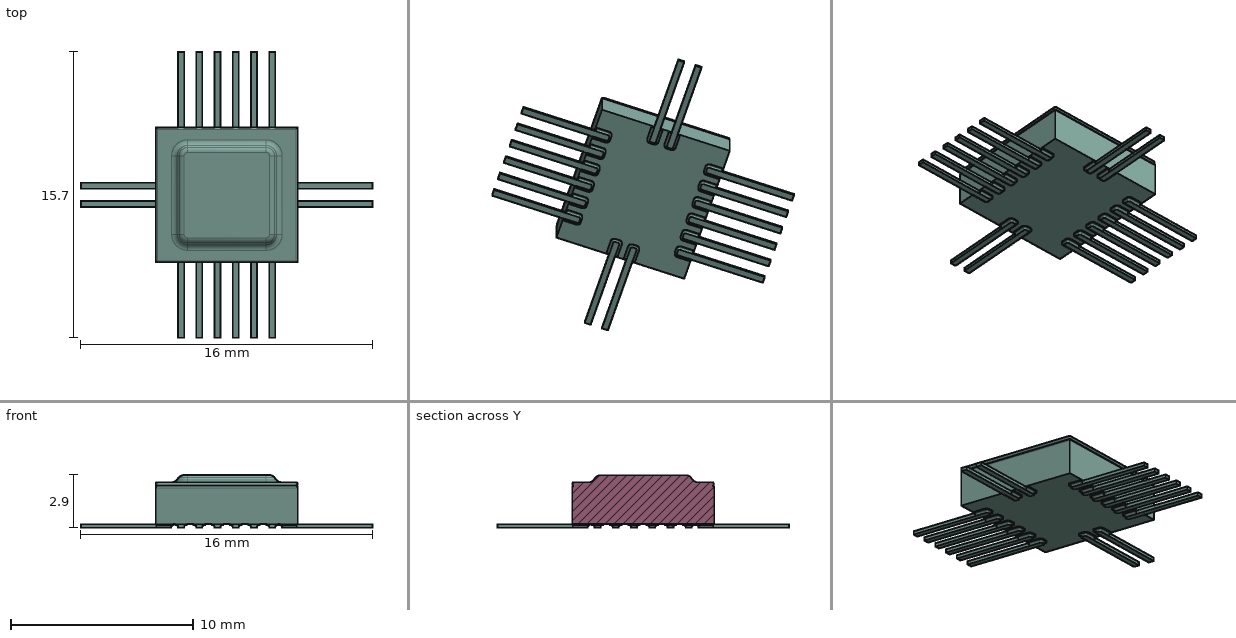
import cadquery as cq
import math

BODY_X = 7.8
BODY_Y = 7.4
BODY_BOTTOM = 0.2
SHOULDER_TOP = 2.3
SHOULDER_RADIUS = 0.1

PLATE_THICKNESS = 0.2
PLATE_TOP = SHOULDER_TOP + PLATE_THICKNESS
RIM_RADIUS = PLATE_THICKNESS / 2

DOME_HEIGHT = 0.4
DOME_HALF_FOOT = 3.03
DOME_CORNER_CENTER = 2.15
DOME_FOOT_RADIUS = 0.4
DOME_CROWN_RADIUS = 0.35
DOME_SLOPE = math.radians(50)

LEAD_WIDTH = 0.35
LEAD_THICKNESS = BODY_BOTTOM
LEAD_PITCH = 1.0
LEADS_PER_X_SIDE = 2
LEADS_PER_Y_SIDE = 6
LEAD_SPAN_X = 16.0
LEAD_SPAN_Y = 15.68
LEAD_OVERLAP = 0.87
LEAD_END_RADIUS = 0.1
BRAZE_RADIUS = 0.1
PAD_THICKNESS = 0.05
PAD_SIDE_MARGIN = 0.15
PAD_END_MARGIN = 0.11
PAD_SETBACK = 0.05

TOLERANCE = 1e-4


def turned(shape, angle):
    """The shape turned about the Z axis."""
    return shape.rotate((0, 0, 0), (0, 0, 1), angle)


def make_body():
    """Ceramic block with a rounded top edge."""
    height = SHOULDER_TOP - BODY_BOTTOM
    block = cq.Workplane("XY").box(BODY_X, BODY_Y, height, centered=(True, True, False))
    return block.faces(">Z").edges().fillet(SHOULDER_RADIUS).translate((0, 0, BODY_BOTTOM))


def round_edged_slab(length, width):
    """Slab of the plate thickness along X, centred on the origin, with half-round long sides."""
    half_flat = width / 2 - RIM_RADIUS
    return (
        cq.Workplane("YZ", origin=(-length / 2, 0, 0))
        .moveTo(-half_flat, -RIM_RADIUS)
        .lineTo(half_flat, -RIM_RADIUS)
        .threePointArc((width / 2, 0), (half_flat, RIM_RADIUS))
        .lineTo(-half_flat, RIM_RADIUS)
        .threePointArc((-width / 2, 0), (-half_flat, -RIM_RADIUS))
        .close()
        .extrude(length)
    )


def make_plate():
    """Cover plate: two crossed round-edged slabs with a ball in each corner."""
    core_x = BODY_X - 2 * RIM_RADIUS
    core_y = BODY_Y - 2 * RIM_RADIUS
    corner_balls = cq.Workplane("XY").rect(core_x, core_y, forConstruction=True).vertices().sphere(RIM_RADIUS)
    plate = round_edged_slab(core_x, BODY_Y)
    plate = plate.union(turned(round_edged_slab(core_y, BODY_X), 90))
    plate = plate.union(corner_balls)
    return plate.translate((0, 0, SHOULDER_TOP + RIM_RADIUS))


def arc_offset(radius, angle):
    """Horizontal and vertical distance along an arc that starts level and turns by the angle."""
    return radius * math.sin(angle), radius * (1 - math.cos(angle))


def dome_section(inner):
    """Half section of the dome in the XZ plane; `inner` is the X of the corner centre line."""
    foot_run, foot_rise = arc_offset(DOME_FOOT_RADIUS, DOME_SLOPE)
    foot_mid_run, foot_mid_rise = arc_offset(DOME_FOOT_RADIUS, DOME_SLOPE / 2)
    crown_run, crown_rise = arc_offset(DOME_CROWN_RADIUS, DOME_SLOPE)
    crown_mid_run, crown_mid_rise = arc_offset(DOME_CROWN_RADIUS, DOME_SLOPE / 2)
    slope_run = (DOME_HEIGHT - foot_rise - crown_rise) / math.tan(DOME_SLOPE)
    foot = inner + DOME_HALF_FOOT - DOME_CORNER_CENTER
    crown = foot - foot_run - slope_run - crown_run
    return (
        cq.Workplane("XZ")
        .moveTo(inner, 0)
        .lineTo(foot, 0)
        .threePointArc((foot - foot_mid_run, foot_mid_rise), (foot - foot_run, foot_rise))
        .lineTo(crown + crown_run, DOME_HEIGHT - crown_rise)
        .threePointArc((crown + crown_mid_run, DOME_HEIGHT - crown_mid_rise), (crown, DOME_HEIGHT))
        .lineTo(inner, DOME_HEIGHT)
        .close()
    )


def make_dome():
    """Square dome: a central block, a straight flank on each side and a revolved piece in each corner."""
    center = DOME_CORNER_CENTER
    dome = cq.Workplane("XY").box(2 * center, 2 * center, DOME_HEIGHT, centered=(True, True, False))
    flank = dome_section(center).extrude(center, both=True)
    corner = dome_section(0).revolve(90, (0, 0), (0, 1)).translate((center, center, 0))
    for quarter in range(4):
        dome = dome.union(turned(flank, 90 * quarter))
        dome = dome.union(turned(corner, 90 * quarter))
    return dome.translate((0, 0, PLATE_TOP))


def make_lead(body_length, span):
    """One lead along +X with a rounded inner end, brazed to a thin pad by a concave fillet."""
    outer_end = span / 2
    inner_end = body_length / 2 - LEAD_OVERLAP
    pad_inner_end = inner_end - PAD_END_MARGIN
    pad_outer_end = body_length / 2 - PAD_SETBACK
    pad_bottom = BODY_BOTTOM - PAD_THICKNESS
    lead = (
        cq.Workplane("XY")
        .center((inner_end + outer_end) / 2, 0)
        .rect(outer_end - inner_end, LEAD_WIDTH)
        .extrude(LEAD_THICKNESS)
        .edges("|Z and <X")
        .fillet(LEAD_END_RADIUS)
    )
    pad = (
        cq.Workplane("XY", origin=(0, 0, pad_bottom))
        .center((pad_inner_end + pad_outer_end) / 2, 0)
        .rect(pad_outer_end - pad_inner_end, LEAD_WIDTH + 2 * PAD_SIDE_MARGIN)
        .extrude(PAD_THICKNESS)
        .edges("|Z and <X")
        .fillet(LEAD_END_RADIUS + PAD_END_MARGIN)
    )
    lead_outline = cq.selectors.BoxSelector(
        (inner_end - TOLERANCE, -LEAD_WIDTH / 2 - TOLERANCE, pad_bottom - TOLERANCE),
        (pad_outer_end - TOLERANCE, LEAD_WIDTH / 2 + TOLERANCE, pad_bottom + TOLERANCE),
    )
    return lead.union(pad).edges(lead_outline).fillet(BRAZE_RADIUS)


def add_lead_rows(part, lead, count, first_angle):
    """Attach a row of leads to two opposite sides."""
    for angle in (first_angle, first_angle + 180):
        for index in range(count):
            offset = (index - (count - 1) / 2) * LEAD_PITCH
            part = part.union(turned(lead.translate((0, offset, 0)), angle))
    return part


result = make_body().union(make_plate()).union(make_dome())
result = add_lead_rows(result, make_lead(BODY_X, LEAD_SPAN_X), LEADS_PER_X_SIDE, 0)
result = add_lead_rows(result, make_lead(BODY_Y, LEAD_SPAN_Y), LEADS_PER_Y_SIDE, 90)